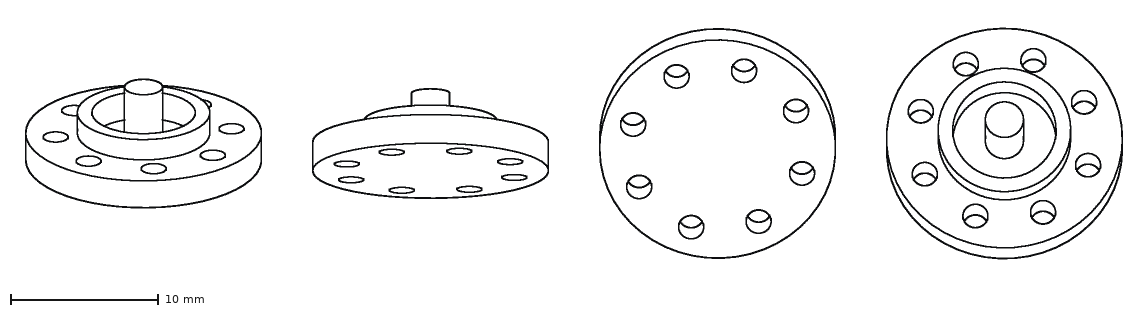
import cadquery as cq

flange_diameter = 16.0
flange_thickness = 2.0
collar_diameter = 9.0
collar_height = 1.5
collar_top = flange_thickness + collar_height

recess_diameter = 7.0
recess_depth = 2.0
recess_floor = collar_top - recess_depth

hole_count = 8
hole_diameter = 1.7
hole_circle_diameter = 12.0

pin_diameter = 2.6
pin_top = 5.4
pin_length = pin_top - recess_floor


def disc(diameter, height, bottom):
    """Upright cylinder on the Z axis with its lower face at the given height."""
    return cq.Workplane("XY").workplane(offset=bottom).circle(diameter / 2).extrude(height)


def make_flange():
    """Collared flange with a blind recess and a ring of through holes."""
    body = disc(flange_diameter, flange_thickness, 0)
    body = body.union(disc(collar_diameter, collar_height, flange_thickness))
    body = body.cut(disc(recess_diameter, recess_depth, recess_floor))
    holes = (
        cq.Workplane("XY")
        .polarArray(hole_circle_diameter / 2, 0, 360, hole_count)
        .circle(hole_diameter / 2)
        .extrude(flange_thickness)
    )
    return body.cut(holes)


def make_pin():
    """Plain round pin resting on the recess floor."""
    return disc(pin_diameter, pin_length, recess_floor)


flange = make_flange()
pin = make_pin()

result = cq.Compound.makeCompound([flange.val(), pin.val()])